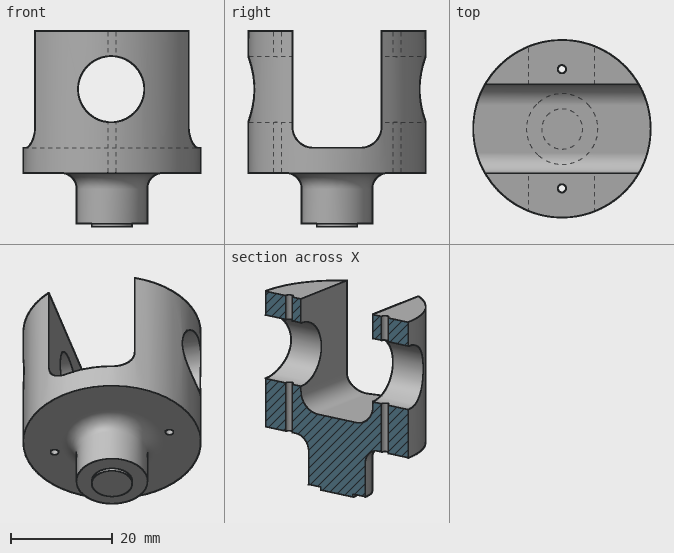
import cadquery as cq
import math

total_height = 38.6
pilot_height = 0.6
stem_height = 9.95
body_base = pilot_height + stem_height

body_diameter = 35.0
stem_diameter = 14.0
pilot_diameter = 8.0
stem_fillet = 3.0

slot_width = 17.5
slot_depth = 23.0
slot_corner_radius = 4.0

bore_diameter = 13.0
bore_depth = 11.5
bore_offset = -0.15

pin_diameter = 1.6
pin_offset = 11.75


def make_turned_blank():
    """Body, stem and pilot revolved with a concave fillet under the body."""
    body_radius = body_diameter / 2
    stem_radius = stem_diameter / 2
    pilot_radius = pilot_diameter / 2
    fillet_center = (stem_radius + stem_fillet, body_base - stem_fillet)
    arc_reach = stem_fillet * math.cos(math.pi / 4)
    profile = (
        cq.Workplane("XZ")
        .lineTo(pilot_radius, 0)
        .lineTo(pilot_radius, pilot_height)
        .lineTo(stem_radius, pilot_height)
        .lineTo(stem_radius, fillet_center[1])
        .threePointArc(
            (fillet_center[0] - arc_reach, fillet_center[1] + arc_reach),
            (fillet_center[0], body_base),
        )
        .lineTo(body_radius, body_base)
        .lineTo(body_radius, total_height)
        .lineTo(0, total_height)
        .close()
    )
    return profile.revolve(360, (0, 0, 0), (0, 1, 0))


def make_slot():
    """Slot cutter with rounded lower corners."""
    return (
        cq.Workplane("XY")
        .workplane(offset=total_height - slot_depth)
        .rect(body_diameter, slot_width)
        .extrude(slot_depth)
        .edges("|X and <Z")
        .fillet(slot_corner_radius)
    )


def make_bore():
    """Cross bore cutter through both arms."""
    return (
        cq.Workplane("XZ")
        .center(bore_offset, total_height - bore_depth)
        .circle(bore_diameter / 2)
        .extrude(body_diameter / 2, both=True)
    )


def make_pin_holes():
    """Pin hole cutters running the full height of the body."""
    return (
        cq.Workplane("XY")
        .workplane(offset=body_base)
        .pushPoints([(0, -pin_offset), (0, pin_offset)])
        .circle(pin_diameter / 2)
        .extrude(total_height - body_base)
    )


result = make_turned_blank().cut(make_slot()).cut(make_bore()).cut(make_pin_holes())